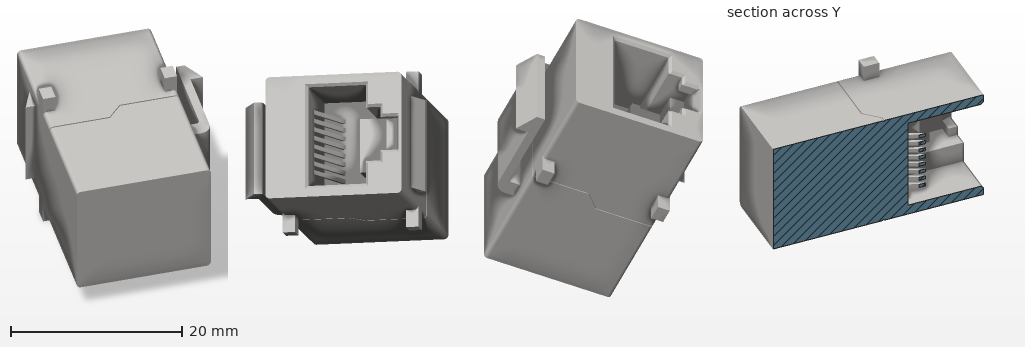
import cadquery as cq


body_length = 26.9
body_depth = 16.22
body_height = 14.47
body_edge_radius = 0.48

seam_x_rear = 12.67
seam_x_front = 14.5
seam_y_front = 7.32
seam_y_rear = 9.0
seam_width = 0.15
seam_groove_depth = 0.13

tab_x = 9.75
tab_length = 1.96
tab_depth = 1.5
tab_rise = 2.05

barb_x = 5.55
barb_length = 2.65
clip_height = 10.92
fixed_barb_rise = 1.18
latch_barb_rise = 1.53

latch_gap = 1.53
latch_thickness = 1.02
latch_root_x = 16.22
latch_root_thickness = 1.85
latch_outer_radius = 1.35
latch_inner_radius = 0.43

mouth_chamfer = 0.32
cavity_y_rear = 11.16
cavity_y_front = 4.28
cavity_half_height = 5.9
plug_latch_y = 2.58
plug_latch_half_height = 3.2
release_y = 0.8
release_half_height = 2.0
release_depth = 1.35
catch_end_x = 3.77
release_mouth_y = 0.35
cavity_depth = 9.6

ledge_y = 5.33
ledge_x = 8.6
block_y = 6.32
block_x = 6.72

contact_count = 8
contact_pitch = 1.02
contact_width = 0.5
contact_x = 3.42
contact_rise = 2.47
contact_root_length = 0.85


def box(x_start, x_end, y_start, y_end, height):
    """Box between the given X and Y limits, centred on Z = 0."""
    length = x_end - x_start
    depth = y_end - y_start
    return (
        cq.Workplane("XY")
        .box(length, depth, height, centered=(False, False, True))
        .translate((x_start, y_start, 0))
    )


def plate(points, height):
    """Plan outline in X and Y, extruded evenly to both sides of Z = 0."""
    return cq.Workplane("XY").polyline(points).close().extrude(height / 2, both=True)


def make_body():
    return box(0, body_length, 0, body_depth, body_height).edges("|X").fillet(body_edge_radius)


def make_seam_groove():
    """Shallow groove all around the body that follows the stepped parting line."""
    overrun = 0.27
    line = [
        (seam_x_front, -overrun),
        (seam_x_front, seam_y_front),
        (seam_x_rear, seam_y_rear),
        (seam_x_rear, body_depth + overrun),
    ]
    far_side = [(x + seam_width, y) for x, y in reversed(line)]
    band = plate(line + far_side, body_height + 2 * overrun)
    core = box(
        0,
        body_length,
        seam_groove_depth,
        body_depth - seam_groove_depth,
        body_height - 2 * seam_groove_depth,
    )
    core = core.edges("|X").fillet(body_edge_radius - seam_groove_depth)
    return band.cut(core)


def make_tabs():
    height = body_height + 2 * tab_rise
    tabs = box(tab_x, tab_x + tab_length, 0, body_depth, height)
    between = box(tab_x, tab_x + tab_length, tab_depth, body_depth - tab_depth, height)
    return tabs.cut(between)


def make_fixed_barb():
    barb_end = barb_x + barb_length
    return plate([(barb_x, 0), (barb_end, 0), (barb_end, -fixed_barb_rise)], clip_height)


def make_latch():
    """Arm parallel to the body, bent down to its root, with a barb at the tip."""
    inner_y = body_depth + latch_gap
    outer_y = inner_y + latch_thickness
    root_end = latch_root_x + latch_root_thickness
    arm = box(barb_x, root_end, inner_y, outer_y, clip_height)
    root = box(latch_root_x, root_end, body_depth, outer_y, clip_height)
    latch = arm.union(root)
    latch = latch.edges("|Z and >X and >Y").fillet(latch_outer_radius)
    inner_corner = cq.selectors.NearestToPointSelector((latch_root_x, inner_y, 0))
    latch = latch.edges(inner_corner).fillet(latch_inner_radius)
    barb_end = barb_x + barb_length
    barb_outline = [(barb_x, outer_y), (barb_end, outer_y), (barb_end, outer_y + latch_barb_rise)]
    barb = plate(barb_outline, clip_height)
    return latch.union(barb)


def make_mouth():
    """Stepped jack outline, narrowing at 45 degrees from the X = 0 face inwards."""
    c = mouth_chamfer
    half_outline = [
        (cavity_y_rear + c, cavity_half_height + c),
        (cavity_y_front - c, cavity_half_height + c),
        (cavity_y_front - c, plug_latch_half_height + c),
        (plug_latch_y - c, plug_latch_half_height + c),
        (plug_latch_y - c, release_half_height + c),
        (release_mouth_y, release_half_height + c),
    ]
    other_half = [(y, -z) for y, z in reversed(half_outline)]
    return cq.Workplane("YZ").polyline(half_outline + other_half).close().extrude(c, taper=45)


def make_release_slot():
    """Slot whose floor slopes from the mouth up to the catch pocket."""
    outline = [
        (0, release_mouth_y),
        (release_depth, release_y),
        (release_depth, plug_latch_y),
        (0, plug_latch_y),
    ]
    return plate(outline, 2 * release_half_height)


def make_cavity():
    plug_space = box(0, cavity_depth, cavity_y_front, cavity_y_rear, 2 * cavity_half_height)
    plug_latch_space = box(0, block_x, plug_latch_y, cavity_y_front, 2 * plug_latch_half_height)
    catch_pocket = box(release_depth, catch_end_x, release_y, plug_latch_y, 2 * plug_latch_half_height)
    ledge = box(ledge_x, cavity_depth, cavity_y_front, ledge_y, 2 * cavity_half_height)
    block = box(block_x, cavity_depth, cavity_y_front, block_y, 2 * plug_latch_half_height)
    cavity = plug_space.cut(ledge).cut(block).union(plug_latch_space).union(catch_pocket)
    return cavity.union(make_mouth()).union(make_release_slot())


def make_contacts():
    """Row of sloping strips that run from the cavity wall to its end face."""
    tip_y = cavity_y_rear - contact_rise
    slope = contact_rise / (cavity_depth - contact_x)
    outline = [
        (contact_x, cavity_y_rear),
        (contact_x + contact_root_length, cavity_y_rear),
        (cavity_depth, tip_y + contact_root_length * slope),
        (cavity_depth, tip_y),
    ]
    contact = plate(outline, contact_width)
    contacts = cq.Workplane("XY")
    for index in range(contact_count):
        z = (index - (contact_count - 1) / 2) * contact_pitch
        contacts = contacts.union(contact.translate((0, 0, z)))
    return contacts


result = (
    make_body()
    .cut(make_seam_groove())
    .union(make_tabs())
    .union(make_fixed_barb())
    .union(make_latch())
    .cut(make_cavity())
    .union(make_contacts())
)